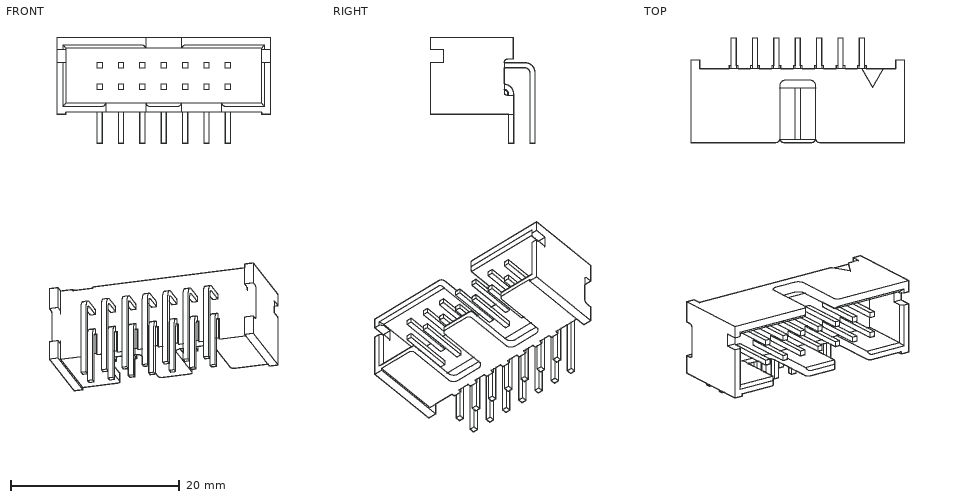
import cadquery as cq
import math

diagonal = math.sqrt(0.5)

width = 25.4
height = 9.15
depth = 8.8
foot_height = 0.28
side_wall = 1.1

cavity_height = 6.53
cavity_depth = 6.5
cavity_mid_z = 4.6
cavity_bottom = cavity_mid_z - cavity_height / 2
cavity_top = cavity_mid_z + cavity_height / 2
mouth_chamfer = 0.38

slot_depth = 7.47
slot_back_radius = 0.75
slot_mouth_radius = 0.48
key_slot_width = 4.27
side_slot_width = 4.75
side_slot_offset = 4.5

notch_depth = 1.55
notch_bottom = 6.17
notch_top = 7.7

arm_back = 9.85
gap_bottom = 2.25
gap_top = 6.55
gap_radius = 0.38

mark_x = 8.9
mark_width = 2.55
mark_length = mark_width * math.sqrt(3) / 2
mark_depth = 0.15

pitch = 2.55
columns = 7
pin = 0.64
pin_tip_y = mouth_chamfer
pin_bottom = -3.43
upper_row_z = height / 2 + pitch / 2
lower_row_z = upper_row_z - pitch
upper_tail_y = 12.45
lower_tail_y = upper_tail_y - pitch
bend_radius = 1.22

pad_width = 1.07
pad_depth = 0.4
pad_clearance = 0.08
pad_top = lower_row_z - pin / 2 - pad_clearance
pad_radius = 0.38


def box(x0, x1, y0, y1, z0, z1):
    """Block between two opposite corners."""
    return cq.Workplane("XY").box(x1 - x0, y1 - y0, z1 - z0, centered=False).translate((x0, y0, z0))


def make_shell():
    """Outer block with full-height side walls, feet and rear arms."""
    half = width / 2
    core = box(-half, half, 0, depth, foot_height, height)
    gap = box(-half, half, depth, arm_back, gap_bottom, gap_top).edges("|X and <Y").fillet(gap_radius)
    for x in (-half, half - side_wall):
        wall = box(x, x + side_wall, 0, arm_back, 0, height)
        core = core.union(wall.cut(gap))
    return core


def make_cavity():
    """Rectangular pocket with a 45 degree lead-in at the mouth."""
    inner_width = width - 2 * side_wall
    half = inner_width / 2
    pocket = box(-half, half, 0, cavity_depth, cavity_bottom, cavity_top)
    lead_in = (
        cq.Workplane("XZ", origin=(0, 0, cavity_mid_z))
        .rect(inner_width + 2 * mouth_chamfer, cavity_height + 2 * mouth_chamfer)
        .extrude(-mouth_chamfer, taper=45)
    )
    return pocket.union(lead_in)


def make_slot(center_x, slot_width, z0, z1):
    """Slot open at the mouth, with rounded back corners and flared mouth corners."""
    half = slot_width / 2
    flare = half + slot_mouth_radius
    back_half = half - slot_back_radius
    mouth_bend = slot_mouth_radius * (1 - diagonal)
    back_bend = slot_back_radius * (1 - diagonal)
    return (
        cq.Workplane("XY", origin=(center_x, 0, z0))
        .moveTo(-flare, 0)
        .lineTo(flare, 0)
        .threePointArc((half + mouth_bend, mouth_bend), (half, slot_mouth_radius))
        .lineTo(half, slot_depth - slot_back_radius)
        .threePointArc((half - back_bend, slot_depth - back_bend), (back_half, slot_depth))
        .lineTo(-back_half, slot_depth)
        .threePointArc((-half + back_bend, slot_depth - back_bend), (-half, slot_depth - slot_back_radius))
        .lineTo(-half, slot_mouth_radius)
        .threePointArc((-half - mouth_bend, mouth_bend), (-flare, 0))
        .close()
        .extrude(z1 - z0)
    )


def make_mark():
    """Shallow triangular recess in the top face, pointing away from the back edge."""
    return (
        cq.Workplane("XY", origin=(mark_x, depth, height - mark_depth))
        .polyline([(-mark_width / 2, 0), (mark_width / 2, 0), (0, -mark_length)])
        .close()
        .extrude(mark_depth)
    )


def make_pin(x, row_z, tail_y):
    """Square pin running back from its tip, then bent straight down."""
    top = row_z + pin / 2
    bend_y = tail_y - bend_radius
    bend_z = top - bend_radius
    inner_radius = bend_radius - pin
    return (
        cq.Workplane("YZ", origin=(x - pin / 2, 0, 0))
        .moveTo(pin_tip_y, top)
        .lineTo(bend_y, top)
        .threePointArc((bend_y + bend_radius * diagonal, bend_z + bend_radius * diagonal), (tail_y, bend_z))
        .lineTo(tail_y, pin_bottom)
        .lineTo(tail_y - pin, pin_bottom)
        .lineTo(tail_y - pin, bend_z)
        .threePointArc(
            (bend_y + inner_radius * diagonal, bend_z + inner_radius * diagonal),
            (bend_y, bend_z + inner_radius),
        )
        .lineTo(pin_tip_y, top - pin)
        .close()
        .extrude(pin)
    )


def make_pad(x):
    """Support pad with a rounded upper back edge."""
    half = pad_width / 2
    pad = box(x - half, x + half, depth, depth + pad_depth, foot_height, pad_top)
    return pad.edges("|X and >Y and >Z").fillet(pad_radius)


result = make_shell().cut(make_cavity())

result = result.cut(make_slot(0, key_slot_width, cavity_top, height))
for side in (-1, 1):
    result = result.cut(make_slot(side * side_slot_offset, side_slot_width, 0, cavity_bottom))

result = result.cut(box(-width / 2, width / 2, 0, notch_depth, notch_bottom, notch_top))
result = result.cut(make_mark())

for column in range(columns):
    pin_x = (column - (columns - 1) / 2) * pitch
    result = result.union(make_pad(pin_x))
    result = result.union(make_pin(pin_x, upper_row_z, upper_tail_y))
    result = result.union(make_pin(pin_x, lower_row_z, lower_tail_y))